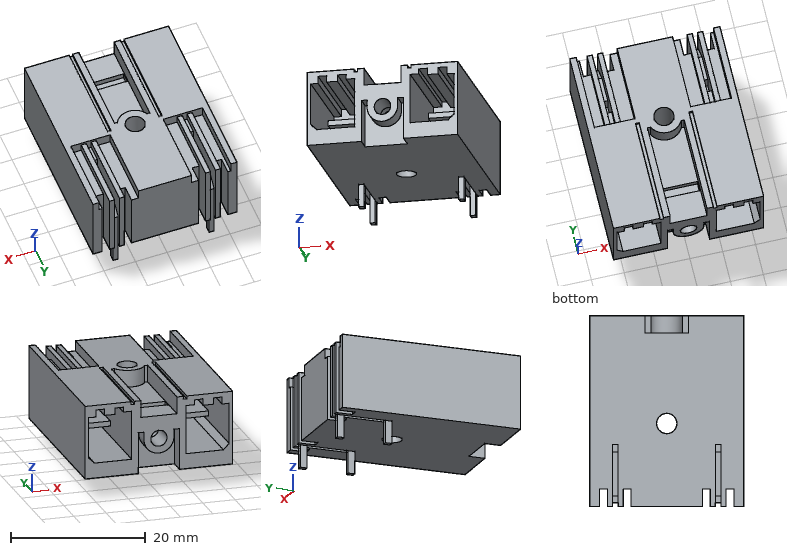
import cadquery as cq


WIDTH = 22.87
LENGTH = 28.3
HEIGHT = 11.43
POLE_OFFSET = 7.6
SIDES = (-1, 1)

CAVITY_DEPTH = 15.56
CAVITY_INNER_X = 4.22
CAVITY_OUTER_X = 10.9
CAVITY_FLOOR = 2.38
CAVITY_CHAMFER = 0.9
CAVITY_INNER_ROOF = 9.93
CAVITY_MIDDLE_ROOF = 9.7
CAVITY_OUTER_ROOF = 9.6
KEYWAY_ROOF = 10.7
KEYWAY_WIDTH = 1.33
INNER_KEYWAY_X = 5.52
OUTER_KEYWAY_X = 8.45

CHANNEL_WIDTH = 5.6
CHANNEL_LENGTH = 14.75
CHANNEL_FLOOR = 8.8
SCREW_HOLE_Y = 16.0
SCREW_HOLE_DIAMETER = 2.97
SCREW_BOSS_RADIUS = 2.65

GROOVE_INNER_X = 3.8
GROOVE_WIDTH = 0.55
GROOVE_DEPTH = 0.45
GROOVE_LENGTH = 15.85

NOTCH_WIDTH = 6.4
NOTCH_DEPTH = 2.55
NOTCH_ROOF = 6.42
CLAMP_AXIS_Z = 5.24
CLAMP_BOSS_RADIUS = 2.32
CLAMP_HOLE_DIAMETER = 2.5

NUT_SIDE = 5.38
NUT_THICKNESS = 1.53
NUT_FRONT_Y = 4.2
NUT_BOTTOM = CLAMP_AXIS_Z - NUT_SIDE / 2
NUT_BACK_Y = NUT_FRONT_Y + NUT_THICKNESS

POCKET_FRONT_Y = 16.6
POCKET_INNER_X = 4.22
POCKET_OUTER_X = 10.45
POCKET_FLOOR = 9.85
RIB_TOP = 11.05
RIB_WIDTH = 0.8
REAR_NOTCH_FRONT_Y = 25.72
INNER_NOTCH_X = 5.32
OUTER_NOTCH_X = 9.95

SHEET = 0.8
BLADE_WIDTH = 4.53
BLADE_TIP_Y = 7.08
BLADE_BOTTOM = 5.32
BLADE_TOP = BLADE_BOTTOM + SHEET
PLATE_FRONT_Y = 19.13
PLATE_STEP_Y = 21.65
PLATE_SLOPE_Y = 25.4
PLATE_REAR_Y = 27.75
PLATE_TOP = 8.5
PLATE_REAR_TOP = 6.23
LEG_LENGTH = 3.48
LEG_DEPTH = 1.05


def block(x_range, y_range, z_range):
    """A box between pairs of X, Y and Z limits."""
    corner = (x_range[0], y_range[0], z_range[0])
    size = (x_range[1] - x_range[0], y_range[1] - y_range[0], z_range[1] - z_range[0])
    return cq.Workplane("XY").box(*size, centered=False).translate(corner)


def centred_block(centre_x, width, y_range, z_range):
    """A box centred on an X position."""
    return block((centre_x - width / 2, centre_x + width / 2), y_range, z_range)


def cylinder_along_y(radius, length):
    """A cylinder on the clamping axis, starting at the mating face."""
    return cq.Workplane("XZ").center(0, CLAMP_AXIS_Z).circle(radius).extrude(-length)


def mating_cavity():
    """The cavity of the +X pole: a keyed opening with one chamfered lower corner."""
    outline = [
        (CAVITY_INNER_X, CAVITY_FLOOR),
        (CAVITY_OUTER_X - CAVITY_CHAMFER, CAVITY_FLOOR),
        (CAVITY_OUTER_X, CAVITY_FLOOR + CAVITY_CHAMFER),
        (CAVITY_OUTER_X, CAVITY_OUTER_ROOF),
        (OUTER_KEYWAY_X + KEYWAY_WIDTH, CAVITY_OUTER_ROOF),
        (OUTER_KEYWAY_X + KEYWAY_WIDTH, KEYWAY_ROOF),
        (OUTER_KEYWAY_X, KEYWAY_ROOF),
        (OUTER_KEYWAY_X, CAVITY_MIDDLE_ROOF),
        (INNER_KEYWAY_X + KEYWAY_WIDTH, CAVITY_MIDDLE_ROOF),
        (INNER_KEYWAY_X + KEYWAY_WIDTH, KEYWAY_ROOF),
        (INNER_KEYWAY_X, KEYWAY_ROOF),
        (INNER_KEYWAY_X, CAVITY_INNER_ROOF),
        (CAVITY_INNER_X, CAVITY_INNER_ROOF),
    ]
    return cq.Workplane("XZ").polyline(outline).close().extrude(-CAVITY_DEPTH)


def rear_pocket():
    """The stepped rear pocket of the +X pole, leaving two ribs around the contact slot."""
    rear = (POCKET_FRONT_Y, LENGTH)
    pocket = block((POCKET_INNER_X, POCKET_OUTER_X), rear, (POCKET_FLOOR, HEIGHT))
    rib_spacing = SHEET + RIB_WIDTH
    ribs_width = rib_spacing + RIB_WIDTH
    for side in SIDES:
        rib_x = POLE_OFFSET + side * rib_spacing / 2
        pocket = pocket.cut(centred_block(rib_x, RIB_WIDTH, rear, (POCKET_FLOOR, RIB_TOP)))

    notches = block((INNER_NOTCH_X, OUTER_NOTCH_X), (REAR_NOTCH_FRONT_Y, LENGTH), (0, POCKET_FLOOR))
    notches = notches.cut(centred_block(POLE_OFFSET, ribs_width, rear, (0, POCKET_FLOOR)))
    contact_slot = centred_block(POLE_OFFSET, SHEET, (PLATE_FRONT_Y, LENGTH), (0, POCKET_FLOOR))
    return pocket.union(notches).union(contact_slot)


def blade_slot():
    """The passage of the +X blade through the wall behind the cavity."""
    return centred_block(
        POLE_OFFSET, BLADE_WIDTH, (CAVITY_DEPTH, PLATE_FRONT_Y), (BLADE_BOTTOM, BLADE_TOP)
    )


def channel():
    """The middle channel, stopped short by the boss around the screw hole."""
    cut = centred_block(0, CHANNEL_WIDTH, (0, CHANNEL_LENGTH), (CHANNEL_FLOOR, HEIGHT))
    boss = cq.Workplane("XY").center(0, SCREW_HOLE_Y).circle(SCREW_BOSS_RADIUS).extrude(HEIGHT)
    return cut.cut(boss)


def clamp_notch():
    """The notch under the channel, around the round-bottomed clamping boss."""
    cut = centred_block(0, NOTCH_WIDTH, (0, NOTCH_DEPTH), (0, NOTCH_ROOF))
    boss_neck = centred_block(0, 2 * CLAMP_BOSS_RADIUS, (0, NOTCH_DEPTH), (CLAMP_AXIS_Z, NOTCH_ROOF))
    return cut.cut(boss_neck).cut(cylinder_along_y(CLAMP_BOSS_RADIUS, NOTCH_DEPTH))


def side_groove():
    """The narrow groove on the +X side of the channel."""
    x_range = (GROOVE_INNER_X, GROOVE_INNER_X + GROOVE_WIDTH)
    return block(x_range, (0, GROOVE_LENGTH), (HEIGHT - GROOVE_DEPTH, HEIGHT))


def make_housing():
    body = centred_block(0, WIDTH, (0, LENGTH), (0, HEIGHT))
    for cut in (mating_cavity(), rear_pocket(), blade_slot(), side_groove()):
        body = body.cut(cut).cut(cut.mirror("YZ"))
    body = body.cut(channel()).cut(clamp_notch())

    nut_slot = centred_block(0, NUT_SIDE, (NUT_FRONT_Y, NUT_BACK_Y), (NUT_BOTTOM, CHANNEL_FLOOR))
    body = body.cut(nut_slot).cut(cylinder_along_y(CLAMP_HOLE_DIAMETER / 2, NUT_BACK_Y))

    screw_hole = cq.Workplane("XY").center(0, SCREW_HOLE_Y).circle(SCREW_HOLE_DIAMETER / 2).extrude(HEIGHT)
    return body.cut(screw_hole)


def make_nut():
    plate = centred_block(0, NUT_SIDE, (NUT_FRONT_Y, NUT_BACK_Y), (NUT_BOTTOM, NUT_BOTTOM + NUT_SIDE))
    return plate.cut(cylinder_along_y(CLAMP_HOLE_DIAMETER / 2, NUT_BACK_Y))


def make_contact(pole_x):
    plate_outline = [
        (PLATE_FRONT_Y, BLADE_BOTTOM),
        (PLATE_REAR_Y, BLADE_BOTTOM),
        (PLATE_REAR_Y, PLATE_REAR_TOP),
        (PLATE_SLOPE_Y, PLATE_TOP),
        (PLATE_STEP_Y, PLATE_TOP),
        (PLATE_STEP_Y, BLADE_TOP),
        (PLATE_FRONT_Y, BLADE_TOP),
    ]
    plate = cq.Workplane("YZ").polyline(plate_outline).close().extrude(SHEET / 2, both=True)
    contact = plate.translate((pole_x, 0, 0))
    for leg_front_y in (PLATE_FRONT_Y, PLATE_REAR_Y - LEG_DEPTH):
        leg_range = (leg_front_y, leg_front_y + LEG_DEPTH)
        contact = contact.union(centred_block(pole_x, SHEET, leg_range, (-LEG_LENGTH, BLADE_BOTTOM)))
    blade = centred_block(pole_x, BLADE_WIDTH, (BLADE_TIP_Y, PLATE_FRONT_Y), (BLADE_BOTTOM, BLADE_TOP))
    return contact.union(blade)


housing = make_housing()
nut = make_nut()
contacts = [make_contact(side * POLE_OFFSET) for side in SIDES]

result = cq.Compound.makeCompound(
    [housing.val(), nut.val(), *[contact.val() for contact in contacts]]
)